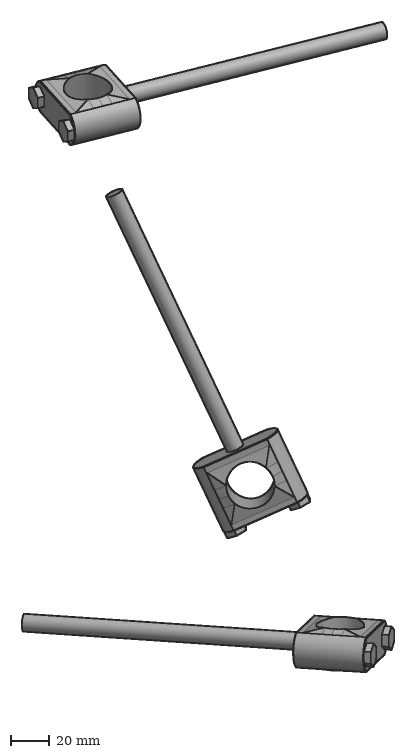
import cadquery as cq
import math

BLOCK_WIDTH = 49.02
BLOCK_DEPTH = 38.5
BLOCK_HEIGHT = 19.05
BLOCK_END_CHAMFER = 0.4
FLAT_HALF_WIDTH = 18.35
BORE_DIAMETER = 25.4

OVERALL_HEIGHT = 22.86
PAD_WIDTH = 36.0
PAD_DEPTH = 31.0
PAD_CREST_DEPTH = 10.8

ROD_DIAMETER = 9.525
ROD_LENGTH = 152.4

OVERALL_LENGTH = 194.67
HEAD_SIDES = 6
HEAD_ACROSS_FLATS = 11.11
HEAD_SPACING = 2 * FLAT_HALF_WIDTH
HEAD_HEIGHT = OVERALL_LENGTH - ROD_LENGTH - BLOCK_DEPTH
HEAD_CHAMFER = 0.2

FRONT_Y = -BLOCK_DEPTH / 2
BACK_Y = BLOCK_DEPTH / 2


def make_block():
    """Block with flat top and bottom, arc-shaped sides and chamfered ends."""
    half_width = BLOCK_WIDTH / 2
    half_height = BLOCK_HEIGHT / 2
    return (
        cq.Workplane("XZ", origin=(0, BACK_Y, 0))
        .moveTo(-FLAT_HALF_WIDTH, half_height)
        .lineTo(FLAT_HALF_WIDTH, half_height)
        .threePointArc((half_width, 0), (FLAT_HALF_WIDTH, -half_height))
        .lineTo(-FLAT_HALF_WIDTH, -half_height)
        .threePointArc((-half_width, 0), (-FLAT_HALF_WIDTH, half_height))
        .close()
        .extrude(BLOCK_DEPTH)
        .faces("<Y or >Y")
        .chamfer(BLOCK_END_CHAMFER)
    )


def make_top_pad():
    """Four-sided tapered pad, topped up so its rim stays level along the sides of the bore."""
    bore_radius = BORE_DIAMETER / 2
    crest_half_depth = PAD_CREST_DEPTH / 2
    crest_half_width = math.sqrt(bore_radius ** 2 - crest_half_depth ** 2)
    base_z = BLOCK_HEIGHT / 2
    crest_z = OVERALL_HEIGHT / 2

    taper = (
        cq.Workplane("XY", origin=(0, 0, base_z))
        .rect(PAD_WIDTH, PAD_DEPTH)
        .workplane(offset=crest_z - base_z)
        .rect(2 * crest_half_width, PAD_CREST_DEPTH)
        .loft(ruled=True)
    )

    sections = []
    for y, rim_x in (
        (-crest_half_depth, crest_half_width),
        (0, bore_radius),
        (crest_half_depth, crest_half_width),
    ):
        corners = [
            (-PAD_WIDTH / 2, y, base_z),
            (PAD_WIDTH / 2, y, base_z),
            (rim_x, y, crest_z),
            (-rim_x, y, crest_z),
        ]
        sections.append(cq.Wire.makePolygon([cq.Vector(*corner) for corner in corners], close=True))
    level_rim = cq.Workplane(cq.Solid.makeLoft(sections, True))
    return taper.union(level_rim)


def make_bore():
    bottom = -OVERALL_HEIGHT / 2
    return cq.Workplane("XY", origin=(0, 0, bottom)).circle(BORE_DIAMETER / 2).extrude(OVERALL_HEIGHT)


def make_rod():
    return cq.Workplane("XZ", origin=(0, BACK_Y, 0)).circle(ROD_DIAMETER / 2).extrude(-ROD_LENGTH)


def make_bolt_head(x):
    """Hexagonal head with corners up and down, its outer corners rounded off by a cone."""
    corner_radius = HEAD_ACROSS_FLATS / 2 / math.cos(math.pi / HEAD_SIDES)
    base = cq.Workplane("XZ", origin=(x, FRONT_Y, 0))
    hexagon = base.polygon(HEAD_SIDES, 2 * corner_radius).extrude(HEAD_HEIGHT)
    hexagon = hexagon.rotate((x, 0, 0), (x, 1, 0), 180 / HEAD_SIDES)
    envelope = base.circle(corner_radius).extrude(HEAD_HEIGHT)
    envelope = envelope.faces("<Y").chamfer(HEAD_CHAMFER)
    return hexagon.intersect(envelope)


top_pad = make_top_pad()
result = make_block().union(top_pad).union(top_pad.mirror("XY")).cut(make_bore()).union(make_rod())
for side in (-1, 1):
    result = result.union(make_bolt_head(side * HEAD_SPACING / 2))